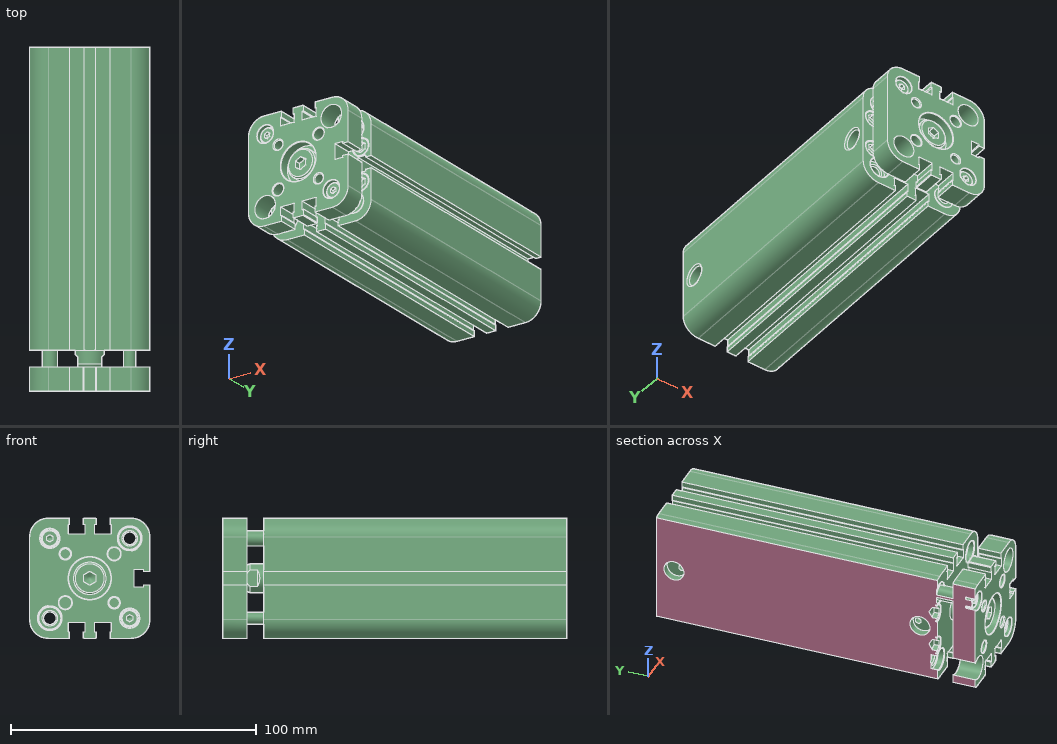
import cadquery as cq
import math

width = 49.0
length = 140.2
half_width = width / 2
front_y = -length / 2
rear_y = length / 2
corner_radius = 7.7
plate_thickness = 10.0
gap = 6.7
plate_back_y = front_y + plate_thickness
body_front_y = plate_back_y + gap
body_length = rear_y - body_front_y

slot_lip = 2.7
slot_depth = 6.5
slot_outer_side = 8.3
groove_inner_side = 2.0
groove_outer_side = 8.7
body_rib_half = 2.2
plate_rib_half = 2.7
plate_rib_edge = 0.3
side_slot_width = 5.5
side_groove_width = 7.0

corner_offset = 16.3
large_rod_diameter = 6.3
small_rod_diameter = 5.0
rod_recess_diameter = 9.0
rod_recess_depth = 0.3
through_recess_mouth_diameter = 9.5
through_recess_diameter = 9.0
through_recess_depth = 2.8
through_diameter = 5.0
through_mouth_diameter = 6.3
plate_bore_diameter = 10.1

rod_screw_mouth_diameter = 8.3
rod_screw_bore_diameter = 8.0
rod_screw_bore_depth = 4.2
rod_screw_head_diameter = 7.0
rod_screw_head_height = 2.8
rod_screw_head_edge = 0.4
rod_screw_socket = 2.5
rod_screw_socket_depth = 1.7

plate_hole_offset = 10.0
thread_diameter = 4.2
thread_mouth_diameter = 5.0
dowel_diameter = 5.2
dowel_mouth_diameter = 5.7

bolt_mouth_diameter = 17.7
bolt_bore_diameter = 17.2
bolt_bore_depth = 4.9
bolt_head_diameter = 13.2
bolt_head_height = 3.2
bolt_head_edge = 0.7
bolt_socket = 4.9
bolt_socket_depth = 2.8

piston_rod_diameter = 11.9
piston_rod_end_diameter = 10.8
piston_rod_end_length = 1.1
flat_width = 10.0
flat_start_inset = 2.5

cover_screw_x = 19.3
cover_screw_z = 7.9
cover_screw_bore_diameter = 8.0
cover_screw_bore_depth = 0.8
cover_screw_head_diameter = 7.5
cover_screw_head_height = 0.7
cover_screw_socket = 4.2
cover_screw_socket_depth = 2.1

port_inset = 7.7
port_diameter = 8.5
port_mouth_diameter = 10.1
port_depth = 8.4
air_hole_diameter = 2.5
air_hole_shift = 2.1
air_hole_depth = 2.8


def box(x_min, x_max, y_min, y_size, z_min, z_max):
    block = cq.Workplane("XY").box(x_max - x_min, y_size, z_max - z_min, centered=False)
    return block.translate((x_min, y_min, z_min))


def cylinder(x, z, start_y, depth, diameter):
    """Cylinder from start_y toward +Y."""
    base = cq.Vector(x, start_y, z)
    return cq.Workplane(cq.Solid.makeCylinder(diameter / 2, depth, base, cq.Vector(0, 1, 0)))


def cone(x, z, start_y, depth, start_diameter, end_diameter):
    """Cone from start_y toward +Y."""
    base = cq.Vector(x, start_y, z)
    return cq.Workplane(
        cq.Solid.makeCone(start_diameter / 2, end_diameter / 2, depth, base, cq.Vector(0, 1, 0)))


def chamfered_hole(x, z, start_y, depth, diameter, mouth_diameter):
    """Round hole toward +Y with a 45 degree chamfer at its mouth."""
    chamfer = cone(x, z, start_y, (mouth_diameter - diameter) / 2, mouth_diameter, diameter)
    return cylinder(x, z, start_y, depth, diameter).union(chamfer)


def hex_socket(x, z, start_y, depth, across_flats):
    """Hexagonal socket toward +Y that ends in a 120 degree drill point."""
    across_corners = across_flats / math.cos(math.pi / 6)
    point_depth = across_corners / 2 * math.tan(math.pi / 6)
    drill = cylinder(x, z, start_y, depth, across_corners)
    drill = drill.union(cone(x, z, start_y + depth, point_depth, across_corners, 0))
    prism = cq.Workplane("XZ").polygon(6, across_corners).extrude(-(depth + point_depth))
    prism = prism.rotate((0, 0, 0), (0, 1, 0), 30).translate((x, start_y, z))
    return prism.intersect(drill)


def four_corners(x, z):
    return [(x_side * x, z_side * z) for x_side in (-1, 1) for z_side in (-1, 1)]


def slotted_block(start_y, depth, rib_half):
    """Rounded square block with the five T-slots running through it."""
    slot_floor = half_width - slot_depth
    lip_floor = half_width - slot_lip
    block = box(-half_width, half_width, start_y, depth, -half_width, half_width)
    block = block.edges("|Y").fillet(corner_radius)
    mouth = box(rib_half, slot_outer_side, start_y, depth, slot_floor, half_width)
    groove = box(groove_inner_side, groove_outer_side, start_y, depth, slot_floor, lip_floor)
    top_slot = mouth.union(groove)
    top_pair = top_slot.union(top_slot.mirror("YZ"))
    side_mouth = box(slot_floor, half_width, start_y, depth, -side_slot_width / 2, side_slot_width / 2)
    side_groove = box(slot_floor, lip_floor, start_y, depth, -side_groove_width / 2, side_groove_width / 2)
    return block.cut(top_pair).cut(top_pair.mirror("XY")).cut(side_mouth).cut(side_groove)


def air_port(y, inward):
    """Port cutter with a chamfered mouth and an off-centre air hole in its floor.

    It is modelled along +Y and turned to enter the -X face; inward is the Y side the air hole lies on.
    """
    cutter = chamfered_hole(0, 0, 0, port_depth, port_diameter, port_mouth_diameter)
    cutter = cutter.union(
        cylinder(-inward * air_hole_shift, 0, 0, port_depth + air_hole_depth, air_hole_diameter))
    return cutter.rotate((0, 0, 0), (0, 0, 1), -90).translate((-half_width, y, 0))


def guide_rod_joint(x, z, diameter):
    """Guide rod from the plate to the floor of its recess in the body."""
    return cylinder(x, z, plate_back_y, gap + rod_recess_depth, diameter)


def make_body():
    body = slotted_block(body_front_y, body_length, body_rib_half)
    floor_y = body_front_y + through_recess_depth
    for side in (-1, 1):
        corner = side * corner_offset
        body = body.cut(cylinder(corner, -corner, body_front_y, rod_recess_depth, rod_recess_diameter))
        body = body.cut(chamfered_hole(
            corner, corner, body_front_y, through_recess_depth,
            through_recess_diameter, through_recess_mouth_diameter))
        body = body.cut(chamfered_hole(
            corner, corner, floor_y, rear_y - floor_y, through_diameter, through_mouth_diameter))

    head_y = body_front_y + cover_screw_bore_depth - cover_screw_head_height
    for x, z in four_corners(cover_screw_x, cover_screw_z):
        recess = cylinder(x, z, body_front_y, cover_screw_bore_depth, cover_screw_bore_diameter)
        head = cylinder(x, z, head_y, cover_screw_head_height, cover_screw_head_diameter)
        body = body.cut(recess.cut(head))
        body = body.cut(hex_socket(x, z, head_y, cover_screw_socket_depth, cover_screw_socket))

    body = body.cut(air_port(body_front_y + port_inset, 1))
    return body.cut(air_port(rear_y - port_inset, -1))


def add_rod_screw(plate, x, z):
    """Recess the plate around a screw head with a hexagonal socket."""
    head_y = front_y + rod_screw_bore_depth - rod_screw_head_height
    recess = chamfered_hole(
        x, z, front_y, rod_screw_bore_depth, rod_screw_bore_diameter, rod_screw_mouth_diameter)
    head = cylinder(x, z, head_y, rod_screw_head_height, rod_screw_head_diameter)
    head = head.faces("<Y").chamfer(rod_screw_head_edge)
    socket = hex_socket(x, z, head_y, rod_screw_socket_depth, rod_screw_socket)
    return plate.cut(recess.cut(head)).cut(socket)


def add_centre_bolt(plate):
    head_y = front_y + bolt_bore_depth - bolt_head_height
    recess = chamfered_hole(0, 0, front_y, bolt_bore_depth, bolt_bore_diameter, bolt_mouth_diameter)
    head = cylinder(0, 0, head_y, bolt_head_height, bolt_head_diameter)
    head = head.faces("<Y").chamfer(bolt_head_edge)
    return plate.cut(recess.cut(head)).cut(hex_socket(0, 0, head_y, bolt_socket_depth, bolt_socket))


def chamfer_plate_ribs(plate):
    """Chamfer the long outer edges of the top and bottom ribs."""
    margin = 0.1
    reach = plate_rib_half + margin
    for z in (-half_width, half_width):
        around_rib = cq.selectors.BoxSelector(
            (-reach, front_y, z - margin), (reach, plate_back_y, z + margin))
        plate = plate.edges("|Y").edges(around_rib).chamfer(plate_rib_edge)
    return plate


def make_plate():
    plate = chamfer_plate_ribs(slotted_block(front_y, plate_thickness, plate_rib_half))
    for side in (-1, 1):
        corner = side * corner_offset
        hole = side * plate_hole_offset
        plate = plate.cut(cylinder(corner, corner, front_y, plate_thickness, plate_bore_diameter))
        plate = add_rod_screw(plate, corner, -corner)
        plate = plate.cut(chamfered_hole(
            hole, -hole, front_y, plate_thickness, thread_diameter, thread_mouth_diameter))
        plate = plate.cut(chamfered_hole(
            hole, hole, front_y, plate_thickness, dowel_diameter, dowel_mouth_diameter))
    return add_centre_bolt(plate)


def make_piston_rod():
    """Piston rod between plate and body; its flats run out at 45 degrees toward the body."""
    rod_radius = piston_rod_diameter / 2
    shank_y = plate_back_y + piston_rod_end_length
    rod = cylinder(0, 0, shank_y, body_front_y - shank_y, piston_rod_diameter)
    rod = rod.union(cone(
        0, 0, plate_back_y, piston_rod_end_length, piston_rod_end_diameter, piston_rod_diameter))
    flat_x = flat_width / 2
    flat_start_y = body_front_y - flat_start_inset
    run_out_y = flat_start_y + rod_radius - flat_x
    flat = (
        cq.Workplane("XY")
        .moveTo(flat_x, plate_back_y)
        .lineTo(flat_x, flat_start_y)
        .lineTo(rod_radius, run_out_y)
        .lineTo(rod_radius, plate_back_y)
        .close()
        .extrude(rod_radius, both=True)
    )
    return rod.cut(flat).cut(flat.mirror("YZ"))


result = make_body().union(make_plate()).union(make_piston_rod())
result = result.union(guide_rod_joint(-corner_offset, corner_offset, large_rod_diameter))
result = result.union(guide_rod_joint(corner_offset, -corner_offset, small_rod_diameter))